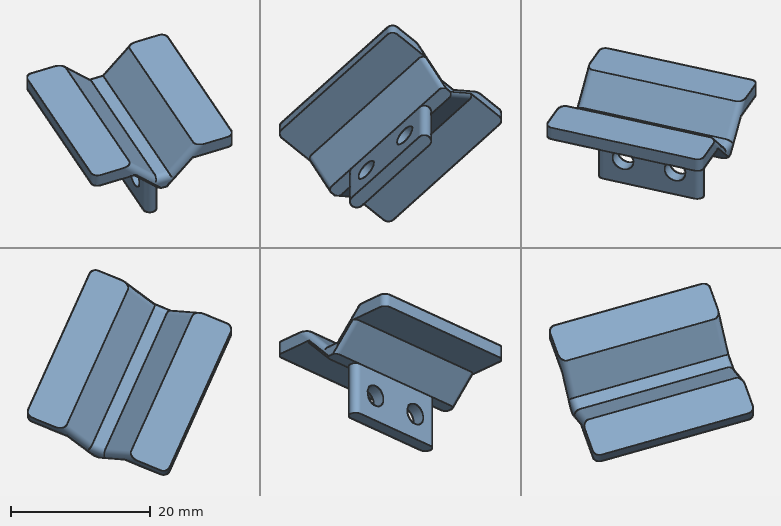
import cadquery as cq
import math

length = 24.0
width = 22.0
height = 14.0

thickness = 2.0
wing_width = 6.0
edge_radius = thickness / 2
half_length = length / 2
half_width = width / 2
floor_half_width = thickness / 2
wing_inner = half_width - wing_width
valley_depth = wing_inner - floor_half_width
plate_bottom = -valley_depth - thickness

tab_length = 16.0
tab_height = height - valley_depth - thickness
hole_diameter = 3.2
hole_spacing = 8.0


def folded_plate():
    right_half = [
        (floor_half_width, plate_bottom),
        (wing_inner, -thickness),
        (half_width, -thickness),
        (half_width, 0),
        (wing_inner, 0),
        (floor_half_width, -valley_depth),
    ]
    left_half = [(-y, z) for y, z in reversed(right_half)]
    plate = (
        cq.Workplane("YZ")
        .polyline(right_half + left_half)
        .close()
        .extrude(half_length, both=True)
    )
    return plate.faces("<Y or >Y").edges("|Z").fillet(edge_radius)


def round_upper_ends(plate):
    """Round the end edges along the valley floor and the top of both slopes."""
    slope_middle_y = (wing_inner + floor_half_width) / 2
    slope_middle_z = -valley_depth / 2
    edge_points = []
    for x in (-half_length, half_length):
        edge_points.append((x, 0, -valley_depth))
        for y in (-slope_middle_y, slope_middle_y):
            edge_points.append((x, y, slope_middle_z))
    edges = [plate.edges(cq.NearestToPointSelector(point)).val() for point in edge_points]
    return plate.newObject(edges).fillet(edge_radius)


def lower_end_cutter():
    """Waste outside the rounding under one slope, at the +X end.

    The arc is tangent to the underside and meets the end face where the
    upper rounding stops.
    """
    slope_thickness = thickness / math.sqrt(2)
    band_depth = slope_thickness - edge_radius
    band_run = band_depth * math.sqrt(2)
    axis_inset = math.sqrt(edge_radius**2 - (edge_radius - band_depth) ** 2)
    band = (
        cq.Workplane("YZ", origin=(half_length - axis_inset, 0, 0))
        .polyline([
            (floor_half_width, plate_bottom),
            (wing_inner, -thickness),
            (wing_inner - band_run, -thickness),
            (floor_half_width - band_run, plate_bottom),
        ])
        .close()
        .extrude(axis_inset)
    )
    axis_offset = edge_radius / math.sqrt(2)
    axis_start = cq.Vector(
        half_length - axis_inset,
        floor_half_width - axis_offset - valley_depth,
        plate_bottom + axis_offset - valley_depth,
    )
    axis_length = 3 * valley_depth * math.sqrt(2)
    rounding = cq.Solid.makeCylinder(edge_radius, axis_length, axis_start, cq.Vector(0, 1, 1))
    return band.cut(cq.Workplane(obj=rounding))


def round_lower_ends(plate):
    cutter = lower_end_cutter()
    opposite_slope = cutter.mirror("XZ")
    for tool in (cutter, opposite_slope):
        plate = plate.cut(tool).cut(tool.mirror("YZ"))
    return plate


def mounting_tab():
    tab = (
        cq.Workplane("XY", origin=(0, 0, -height))
        .slot2D(tab_length, thickness)
        .extrude(tab_height)
    )
    hole_z = -height + tab_height / 2
    holes = (
        cq.Workplane("XZ", origin=(0, 0, hole_z))
        .pushPoints([(-hole_spacing / 2, 0), (hole_spacing / 2, 0)])
        .circle(hole_diameter / 2)
        .extrude(thickness, both=True)
    )
    return tab.cut(holes)


plate = round_lower_ends(round_upper_ends(folded_plate()))
result = plate.union(mounting_tab())